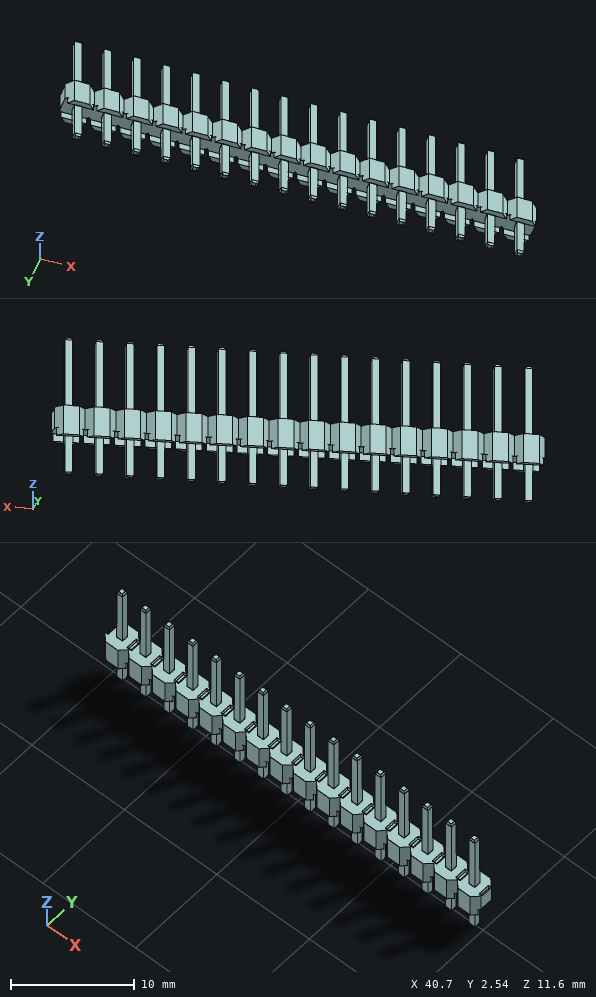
import cadquery as cq

total_length = 40.65
pin_count = 16
pitch = total_length / pin_count

cell_width = pitch
body_height = 2.48
corner_cut = 0.6

channel_width = 1.63
channel_depth = 0.65

recess_length = 0.5
recess_width = 1.15
recess_depth = 0.12
recess_wall_angle = 45

pin_size = pitch / 4
pin_length = 11.6
pin_below_body = 3.0
tip_inset = 0.1
tip_height = 0.2

pin_places = [(index - (pin_count - 1) / 2) * pitch for index in range(pin_count)]
joint_places = [(index - pin_count / 2) * pitch for index in range(pin_count + 1)]


def make_body():
    """Row of eight-sided cells joined at their end flats."""
    cell = cq.Workplane("XY").box(pitch, cell_width, body_height, centered=(True, True, False))
    cell = cell.edges("|Z").chamfer(corner_cut)
    body = cell.translate((pin_places[0], 0, 0))
    for x in pin_places[1:]:
        body = body.union(cell.translate((x, 0, 0)))
    return body


def make_channel():
    """Cutter for the channel running the full length of the underside."""
    return cq.Workplane("XY").box(total_length, channel_width, channel_depth, centered=(True, True, False))


def make_recesses():
    """Cutters for the recesses over every joint and at both ends."""
    return (
        cq.Workplane("XY", origin=(0, 0, body_height))
        .pushPoints([(x, 0) for x in joint_places])
        .rect(recess_length, recess_width)
        .extrude(-recess_depth, taper=recess_wall_angle)
    )


def make_pin():
    """Square pin on the Z axis with both tips tapered."""
    pin = cq.Workplane("XY").box(pin_size, pin_size, pin_length, centered=(True, True, False))
    pin = pin.faces(">Z").chamfer(tip_height, tip_inset)
    pin = pin.faces("<Z").chamfer(tip_height, tip_inset)
    return pin.translate((0, 0, -pin_below_body))


result = make_body().cut(make_channel()).cut(make_recesses())
pin = make_pin()
for x in pin_places:
    result = result.union(pin.translate((x, 0, 0)))